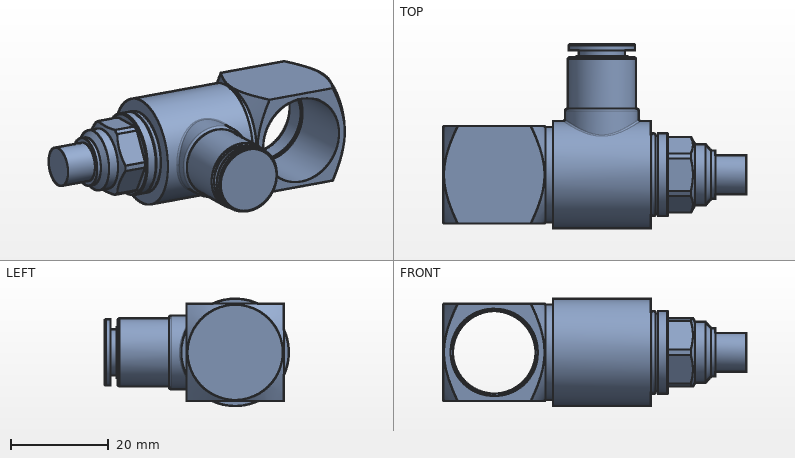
import cadquery as cq
import math

TOTAL_LENGTH = 62.0
TOTAL_WIDTH = 37.7
CLEARANCE = 0.6

HEAD_LENGTH = 20.9
HEAD_WIDTH = 19.95
HEAD_FACE_RADIUS = 9.75
HEAD_CORNER_CHAMFER = 3.0
BORE_RADIUS = 8.45
BORE_CHAMFER = 0.5
BORE_X = HEAD_LENGTH / 2
BORE_MOUTH_RADIUS = BORE_RADIUS + BORE_CHAMFER
COUNTERBORE_RADIUS = BORE_MOUTH_RADIUS
SPIGOT_RADIUS = 4.95
COUNTERBORE_FLOOR_Y = -SPIGOT_RADIUS
SPIGOT_END = BORE_X + BORE_RADIUS
NECK_RADIUS = 9.8
NECK_END = 22.45

BARREL_LENGTH = 20.0
BARREL_RADIUS = 22.0 / 2
BARREL_END = NECK_END + BARREL_LENGTH
BRANCH_X = NECK_END + BARREL_LENGTH / 2

RING_GAP_RADIUS = 8.0
RING_RADIUS = 8.5
BEAD_WIDTH = 1.0
RING_GAP_WIDTH = 0.45
COLLAR_END = 46.0
COLLAR_CHAMFER = 0.2

HEX_ACROSS_FLATS = 14.0
HEX_CORNER_RADIUS = 7.75
HEX_CHAMFER_START = 50.65
HEX_CONE_SLOPE = math.tan(math.radians(30))

SLEEVE_RADIUS = 6.25
SLEEVE_END = 53.6
STEP_RADIUS = 4.95
STEP_START = 54.8
STEP_END = 55.7
TIP_RADIUS = 8.0 / 2

BRANCH_TIP_Y = TOTAL_WIDTH - BARREL_RADIUS
BASE_RADIUS = 7.55
BASE_TOP_Y = 13.5
BASE_FILLET = 0.5
BASE_ROOT_FILLET = 0.4
SOCKET_RADIUS = 7.0
SOCKET_TOP_Y = 24.05
SOCKET_CHAMFER = 0.4
LIP_RADIUS = 5.2
LIP_HEIGHT = 0.2
RELEASE_NECK_RADIUS = 4.8
CAP_RADIUS = 6.8
CAP_THICKNESS = 1.25
CAP_CHAMFER = 0.25


def cylinder_along_x(radius, start, end):
    return cq.Workplane("YZ", origin=(start, 0, 0)).circle(radius).extrude(end - start)


def cylinder_along_y(radius, start, end):
    return cq.Workplane("XZ", origin=(BRANCH_X, start, 0)).circle(radius).extrude(start - end)


def revolve_about_x(profile):
    return profile.close().revolve(360, (0, 0, 0), (1, 0, 0))


def make_head():
    half_width = HEAD_WIDTH / 2
    corner_radius = half_width * math.sqrt(2)
    block = cq.Workplane("YZ").rect(HEAD_WIDTH, HEAD_WIDTH).extrude(HEAD_LENGTH)

    cone_envelope = revolve_about_x(
        cq.Workplane("XY")
        .lineTo(0, HEAD_FACE_RADIUS)
        .lineTo(HEAD_CORNER_CHAMFER, corner_radius)
        .lineTo(HEAD_LENGTH - HEAD_CORNER_CHAMFER, corner_radius)
        .lineTo(HEAD_LENGTH, HEAD_FACE_RADIUS)
        .lineTo(HEAD_LENGTH, 0)
    )

    bore = (
        cq.Workplane("XY")
        .moveTo(0, -half_width)
        .lineTo(BORE_MOUTH_RADIUS, -half_width)
        .lineTo(BORE_RADIUS, -half_width + BORE_CHAMFER)
        .lineTo(BORE_RADIUS, COUNTERBORE_FLOOR_Y)
        .lineTo(COUNTERBORE_RADIUS, COUNTERBORE_FLOOR_Y)
        .lineTo(COUNTERBORE_RADIUS, half_width)
        .lineTo(0, half_width)
        .close()
        .revolve(360, (0, 0, 0), (0, 1, 0))
        .translate((BORE_X, 0, 0))
    )
    neck = cylinder_along_x(NECK_RADIUS, HEAD_LENGTH, NECK_END)
    spigot_hole = cylinder_along_x(SPIGOT_RADIUS, BORE_X, NECK_END)
    head = block.intersect(cone_envelope).union(neck)
    return head.cut(bore).cut(spigot_hole)


def make_rings():
    """Round bead, gap and collar beside the barrel."""
    bead_crest = BARREL_END + BEAD_WIDTH / 2
    bead_end = BARREL_END + BEAD_WIDTH
    collar_start = bead_end + RING_GAP_WIDTH
    return revolve_about_x(
        cq.Workplane("XY")
        .moveTo(BARREL_END, 0)
        .lineTo(BARREL_END, RING_GAP_RADIUS)
        .threePointArc((bead_crest, RING_RADIUS), (bead_end, RING_GAP_RADIUS))
        .lineTo(collar_start, RING_GAP_RADIUS)
        .lineTo(collar_start, RING_RADIUS)
        .lineTo(COLLAR_END - COLLAR_CHAMFER, RING_RADIUS)
        .lineTo(COLLAR_END, RING_RADIUS - COLLAR_CHAMFER)
        .lineTo(COLLAR_END, 0)
    )


def hexagon_prism(across_flats, length):
    diameter = across_flats / math.cos(math.pi / 6)
    return cq.Workplane("YZ", origin=(COLLAR_END, 0, 0)).polygon(6, diameter).extrude(length)


def make_hexagon():
    """Hexagon with flats on top and bottom, cut corners and a coned end."""
    cone_end = HEX_CHAMFER_START + (HEX_CORNER_RADIUS - SLEEVE_RADIUS) * HEX_CONE_SLOPE
    length = cone_end - COLLAR_END
    flats = hexagon_prism(HEX_ACROSS_FLATS, length)
    corner_cuts = hexagon_prism(2 * HEX_CORNER_RADIUS, length).rotate((0, 0, 0), (1, 0, 0), 30)
    widest_radius = HEX_CORNER_RADIUS + CLEARANCE
    cone_envelope = revolve_about_x(
        cq.Workplane("XY")
        .moveTo(COLLAR_END, 0)
        .lineTo(COLLAR_END, widest_radius)
        .lineTo(cone_end - (widest_radius - SLEEVE_RADIUS) * HEX_CONE_SLOPE, widest_radius)
        .lineTo(cone_end, SLEEVE_RADIUS)
        .lineTo(cone_end, 0)
    )
    return flats.intersect(corner_cuts).intersect(cone_envelope)


def make_tip():
    return revolve_about_x(
        cq.Workplane("XY")
        .moveTo(COLLAR_END, 0)
        .lineTo(COLLAR_END, SLEEVE_RADIUS)
        .lineTo(SLEEVE_END, SLEEVE_RADIUS)
        .lineTo(STEP_START, STEP_RADIUS)
        .lineTo(STEP_END, STEP_RADIUS)
        .lineTo(STEP_END, TIP_RADIUS)
        .lineTo(TOTAL_LENGTH, TIP_RADIUS)
        .lineTo(TOTAL_LENGTH, 0)
    )


def make_branch_end():
    """Socket, lip, release neck and cap, stacked along +Y above the branch base."""
    lip_top = SOCKET_TOP_Y + LIP_HEIGHT
    cap_bottom = BRANCH_TIP_Y - CAP_THICKNESS
    socket = cylinder_along_y(SOCKET_RADIUS, BASE_TOP_Y, SOCKET_TOP_Y)
    socket = socket.faces(">Y").chamfer(SOCKET_CHAMFER)
    lip = cylinder_along_y(LIP_RADIUS, SOCKET_TOP_Y, lip_top)
    release_neck = cylinder_along_y(RELEASE_NECK_RADIUS, lip_top, cap_bottom)
    cap = cylinder_along_y(CAP_RADIUS, cap_bottom, BRANCH_TIP_Y)
    cap = cap.faces(">Y").chamfer(CAP_CHAMFER)
    return socket.union(lip).union(release_neck).union(cap)


def make_barrel_with_base():
    barrel = cylinder_along_x(BARREL_RADIUS, NECK_END, BARREL_END)
    base = cylinder_along_y(BASE_RADIUS, 0, BASE_TOP_Y)
    base = base.faces(">Y").edges().fillet(BASE_FILLET)

    root_reach = BASE_RADIUS + CLEARANCE
    root_zone = cq.selectors.BoxSelector(
        (BRANCH_X - root_reach, 0, -root_reach),
        (BRANCH_X + root_reach, BARREL_RADIUS + CLEARANCE, root_reach),
        boundingbox=True,
    )
    return barrel.union(base).edges(root_zone).fillet(BASE_ROOT_FILLET)


def make_valve_body():
    spigot = cylinder_along_x(SPIGOT_RADIUS, SPIGOT_END, NECK_END)
    return (
        make_barrel_with_base()
        .union(make_branch_end())
        .union(spigot)
        .union(make_rings())
        .union(make_hexagon())
        .union(make_tip())
    )


banjo_head = make_head().solids()
valve_body = make_valve_body().solids()
result = cq.Compound.makeCompound([banjo_head.val(), valve_body.val()])